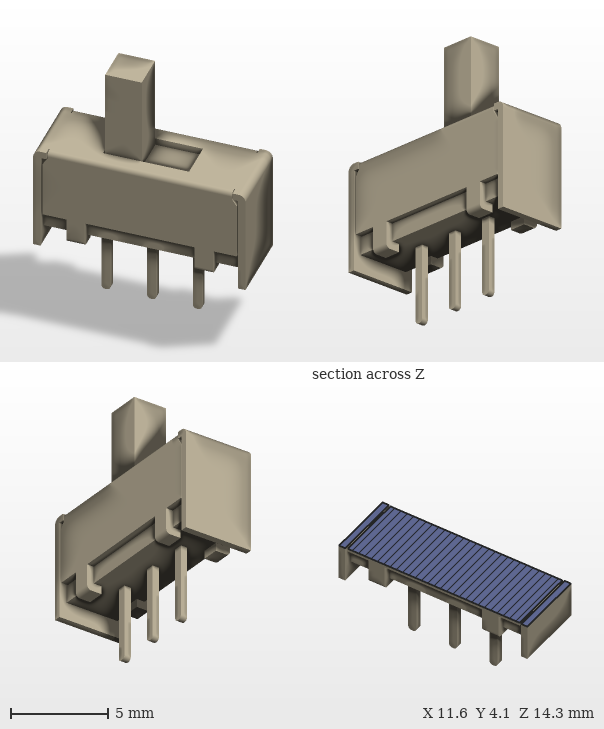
import cadquery as cq

sheet = 0.4
cover_length = 11.6
cover_width = 4.1
cover_top = 5.0
end_leg_bottom = -1.0
end_bend_radius = 0.39

wall_length = 10.6
wall_spread = 4.025
wall_bottom = 1.0
wall_top_length = 10.08
wall_bend_radius = 0.25
wall_corner_height = 0.4
relief_gap = 0.05
relief_depth = 0.4

tab_width = 1.0
tab_centre = 3.5
tab_bottom = -0.47
tab_bend_radius = 0.25
tab_reach = 0.9

base_length = cover_length - 2 * sheet
base_width = 3.2
base_top = 1.17

slot_length = 4.7
slot_width = 2.1
knob_size = 2.0
knob_end_clearance = 0.1
knob_height = 5.0
knob_x = -slot_length / 2 + knob_end_clearance + knob_size / 2

pin_pitch = 2.5
pin_width = 0.5
pin_thickness = 0.4
pin_bottom = -4.33
pin_tip_radius = 0.22


def block(length, width, bottom, top, x=0, y=0):
    """Upright box centred at (x, y) between two heights."""
    return cq.Workplane("XY", origin=(x, y, bottom)).box(
        length, width, top - bottom, centered=(True, True, False)
    )


def make_end_caps():
    """Full-width strip of sheet, bent down into a leg at both ends."""
    strip = block(cover_length, cover_width, end_leg_bottom, cover_top)
    strip = strip.edges("|Y and >Z").fillet(end_bend_radius)
    inside = block(base_length, cover_width, end_leg_bottom, cover_top - sheet)
    strip = strip.cut(inside)
    notch_length = wall_top_length + 2 * relief_gap
    for side in (-1, 1):
        notch_y = side * (cover_width - relief_depth) / 2
        strip = strip.cut(block(notch_length, relief_depth, cover_top - sheet, cover_top, y=notch_y))
    return strip


def make_body():
    """Walled housing with cut upper corners and rounded long top edges."""
    shoulder = cover_top - sheet
    corner_bottom = shoulder - wall_corner_height
    half_top = wall_top_length / 2
    half_wall = wall_length / 2
    outline = [
        (-half_wall, wall_bottom),
        (-half_wall, corner_bottom),
        (-half_top, shoulder),
        (-half_top, cover_top),
        (half_top, cover_top),
        (half_top, shoulder),
        (half_wall, corner_bottom),
        (half_wall, wall_bottom),
    ]
    body = cq.Workplane("XZ").polyline(outline).close().extrude(wall_spread / 2, both=True)
    return body.edges("|X and >Z").fillet(wall_bend_radius)


def make_tab(x, side):
    """Retaining tab flush with a side wall and folded inward under the base."""
    outer_y = wall_spread / 2
    leaf_thickness = (wall_spread - base_width) / 2
    leaf = block(tab_width, leaf_thickness, tab_bottom, wall_bottom, x, side * (outer_y - leaf_thickness / 2))
    foot = block(tab_width, tab_reach, tab_bottom, 0, x, side * (outer_y - tab_reach / 2))
    outer_edge = ">Y" if side > 0 else "<Y"
    return leaf.union(foot).edges("|X").edges("<Z").edges(outer_edge).fillet(tab_bend_radius)


def make_base():
    """Insulating base filling the space between the end legs."""
    return block(base_length, base_width, 0, base_top)


def make_pin(x):
    """Flat terminal with rounded tip corners."""
    pin = block(pin_width, pin_thickness, pin_bottom, base_top, x)
    return pin.edges("|Y and <Z").fillet(pin_tip_radius)


result = make_end_caps().union(make_body()).union(make_base())
for tab_x in (-tab_centre, tab_centre):
    for tab_side in (-1, 1):
        result = result.union(make_tab(tab_x, tab_side))
for pin_index in (-1, 0, 1):
    result = result.union(make_pin(pin_index * pin_pitch))

result = result.cut(block(slot_length, slot_width, cover_top - sheet, cover_top))
result = result.union(block(knob_size, knob_size, cover_top - sheet, cover_top + knob_height, knob_x))